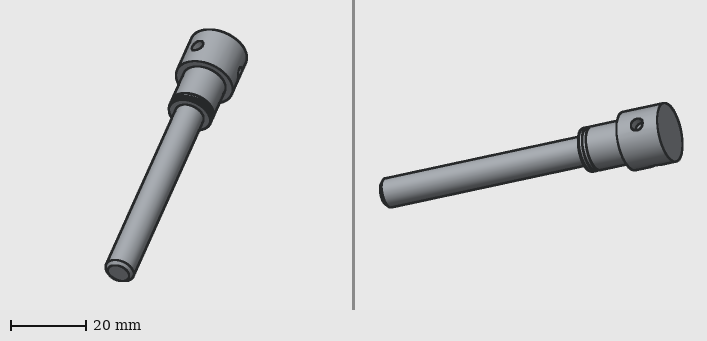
import cadquery as cq
import math

total_length = 84.0
head_diameter = 16.0
head_length = 12.0
collar_diameter = 12.0
collar_length = 12.4
pin_diameter = 8.0
pin_tip_chamfer = 1.0

groove_offset = 10.0
groove_width = 1.1
groove_depth = 0.25

lead_in_length = 0.4
lead_in_depth = 0.2

hole_diameter = 3.5
hole_depth = 3.0
drill_point_angle = 118.0
hole_count = 3

head_radius = head_diameter / 2
collar_radius = collar_diameter / 2
pin_radius = pin_diameter / 2

head_end_y = total_length / 2
head_face_y = head_end_y - head_length
collar_face_y = head_face_y - collar_length
pin_tip_y = head_end_y - total_length
hole_y = head_end_y - head_length / 2


def make_body():
    """Stepped body: the half profile revolved about the Y axis."""
    profile = (
        cq.Workplane("XY")
        .moveTo(0, head_end_y)
        .lineTo(head_radius, head_end_y)
        .lineTo(head_radius, head_face_y)
        .lineTo(collar_radius, head_face_y)
        .lineTo(collar_radius, collar_face_y + lead_in_length)
        .lineTo(collar_radius - lead_in_depth, collar_face_y)
        .lineTo(pin_radius, collar_face_y)
        .lineTo(pin_radius, pin_tip_y + pin_tip_chamfer)
        .lineTo(pin_radius - pin_tip_chamfer, pin_tip_y)
        .lineTo(0, pin_tip_y)
        .close()
    )
    return profile.revolve(360, (0, 0, 0), (0, 1, 0))


def make_groove_ring():
    """Ring of material removed to form the collar groove."""
    groove_start_y = head_face_y - groove_offset
    return (
        cq.Workplane("XZ", origin=(0, groove_start_y, 0))
        .circle(collar_radius)
        .circle(collar_radius - groove_depth)
        .extrude(groove_width)
    )


def make_radial_hole(angle_degrees):
    """Blind drill with a conical point, entering the head at an angle from +X towards +Z."""
    drill_radius = hole_diameter / 2
    floor_radius = head_radius - hole_depth
    point_length = drill_radius / math.tan(math.radians(drill_point_angle / 2))
    drill = (
        cq.Workplane("XY", origin=(0, hole_y, 0))
        .moveTo(head_radius, 0)
        .lineTo(head_radius, drill_radius)
        .lineTo(floor_radius, drill_radius)
        .lineTo(floor_radius - point_length, 0)
        .close()
        .revolve(360, (0, 0, 0), (1, 0, 0))
    )
    return drill.rotate((0, 0, 0), (0, 1, 0), -angle_degrees)


result = make_body().cut(make_groove_ring())
for index in range(hole_count):
    result = result.cut(make_radial_hole(index * 360 / hole_count))